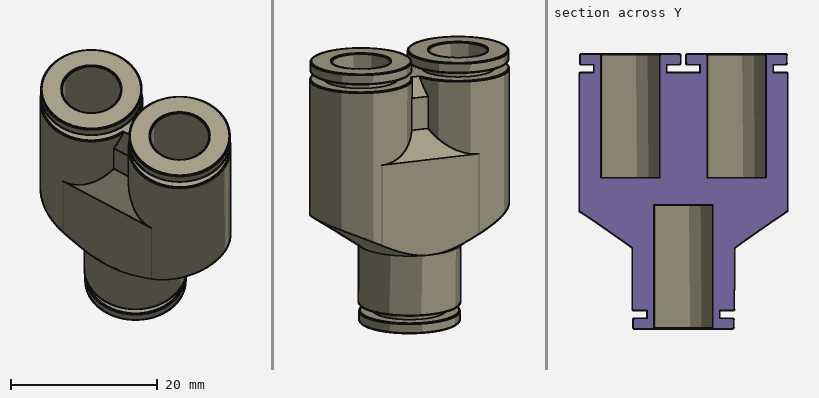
import cadquery as cq

total_height = 37.5
body_diameter = 14.0
leg_spacing = 14.48

collar_diameter = 13.8
collar_height = 1.5
neck_diameter = 10.0
neck_height = 1.0
bore_diameter = 8.0
bore_depth = 16.88
edge_chamfer = 0.15

shoulder_bottom = 11.02
shoulder_top = 16.05
block_top = 24.52
web_bottom = 27.9
web_taper_start = 32.45

web_thickness = 7.05
web_top_thickness = 4.05

body_radius = body_diameter / 2
body_half_width = leg_spacing / 2 + body_radius
collar_and_neck = collar_height + neck_height
body_bottom = collar_and_neck
body_top = total_height - collar_and_neck
leg_positions = [(-leg_spacing / 2, 0), (leg_spacing / 2, 0)]


def cylinder(diameter, bottom, height):
    return cq.Workplane("XY").workplane(offset=bottom).circle(diameter / 2).extrude(height)


def make_legs():
    """Two parallel round legs with broken top edges."""
    return (
        cq.Workplane("XY")
        .workplane(offset=shoulder_bottom)
        .pushPoints(leg_positions)
        .circle(body_radius)
        .extrude(body_top - shoulder_bottom)
        .faces(">Z")
        .chamfer(edge_chamfer)
    )


def make_web():
    """Block between the legs that slopes in to a thin web with a tapered top."""
    right_side = [
        (body_radius, shoulder_bottom),
        (body_radius, block_top),
        (web_thickness / 2, web_bottom),
        (web_thickness / 2, web_taper_start),
        (web_top_thickness / 2, body_top),
    ]
    left_side = [(-y, z) for y, z in reversed(right_side)]
    return (
        cq.Workplane("YZ")
        .polyline(right_side + left_side)
        .close()
        .extrude(leg_spacing / 2, both=True)
    )


def make_shoulder_envelope():
    """Cone about the stem axis, continued upward as a cylinder around both legs."""
    return (
        cq.Workplane("XZ")
        .polyline([
            (0, shoulder_bottom),
            (body_radius, shoulder_bottom),
            (body_half_width, shoulder_top),
            (body_half_width, total_height),
            (0, total_height),
        ])
        .close()
        .revolve(360, (0, 0, 0), (0, 1, 0))
    )


def make_stem():
    stem = cylinder(body_diameter, body_bottom, shoulder_bottom - body_bottom)
    return stem.faces("<Z").chamfer(edge_chamfer)


def make_connector():
    """Neck and collar standing on the XY plane, with the collar on top."""
    neck = cylinder(neck_diameter, 0, neck_height)
    collar = cylinder(collar_diameter, neck_height, collar_height).edges().chamfer(edge_chamfer)
    return neck.union(collar)


def make_bore():
    """Blind tube bore with a chamfered mouth, opening at the top of a connector."""
    bore_radius = bore_diameter / 2
    mouth_radius = bore_radius + edge_chamfer
    floor = collar_and_neck - bore_depth
    return (
        cq.Workplane("XZ")
        .polyline([
            (0, floor),
            (bore_radius, floor),
            (bore_radius, collar_and_neck - edge_chamfer),
            (mouth_radius, collar_and_neck),
            (0, collar_and_neck),
        ])
        .close()
        .revolve(360, (0, 0, 0), (0, 1, 0))
    )


def place_at_ports(shape):
    """Copies of a connector shape at the two leg tops and, inverted, at the stem."""
    copies = [shape.translate((x, y, body_top)) for x, y in leg_positions]
    inverted = shape.rotate((0, 0, 0), (1, 0, 0), 180)
    return copies + [inverted.translate((0, 0, body_bottom))]


body = make_legs().union(make_web()).intersect(make_shoulder_envelope())
result = body.union(make_stem())

for connector in place_at_ports(make_connector()):
    result = result.union(connector)
for bore in place_at_ports(make_bore()):
    result = result.cut(bore)